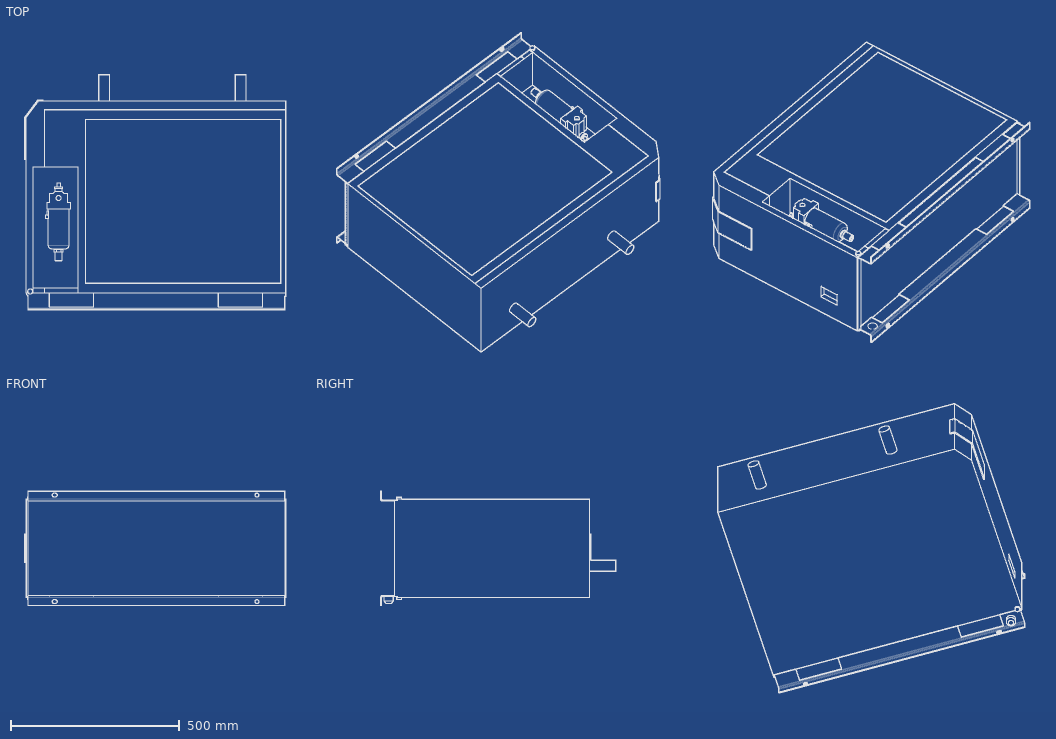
import cadquery as cq


CABINET_WIDTH = 771.5
CABINET_DEPTH = 570.0
CABINET_HEIGHT = 292.0
LEFT = -CABINET_WIDTH / 2
RIGHT = CABINET_WIDTH / 2
TOP = CABINET_HEIGHT / 2
CORNER_CUT_X = 37.5
CORNER_CUT_Y = 50.0

LABEL_THICKNESS = 3.5
LABEL_HEIGHT = 85.0
LABEL_SIDE_END_Y = 396.0
LABEL_BACK_LENGTH = 14.0

GRIP_START_Y = 75.0
GRIP_LENGTH = 61.0
GRIP_HEIGHT = 41.0
GRIP_CENTER_Z = -65.0
GRIP_DEPTH = 16.0

POCKET_LEFT = LEFT + 21.0
POCKET_WIDTH = 133.5
POCKET_FRONT_Y = 14.5
POCKET_LENGTH = 359.0
POCKET_BACK_Y = POCKET_FRONT_Y + POCKET_LENGTH
POCKET_DEPTH = 150.0
LEDGE_DROP = 2.0

JOINT_SIZE = 0.5
SIDE_JOINT_X = LEFT + 55.5
BACK_JOINT_Y = CABINET_DEPTH - 26.5
COVER_LEFT = -209.0
COVER_WIDTH = 580.0
COVER_FRONT_Y = 29.0
COVER_LENGTH = 486.0

PIPE_DIAMETER = 33.25
PIPE_LENGTH = 78.0
PIPE_XS = (-153.5, 251.5)
PIPE_Z = -52.0

HINGE_DIAMETER = 15.0
HINGE_HEIGHT = 6.0
HINGE_X = LEFT + 13.0
HINGE_Y = 5.0

SHEET = 3.0
BEND_RADIUS = 2 * SHEET
BRACKET_LEFT = LEFT + 6.5
BRACKET_WIDTH = 762.0
BRACKET_REACH = 50.0
FLANGE_TOP = 170.0
PLATE_TOP = TOP - SHEET
PLATE_BOTTOM = PLATE_TOP - SHEET
WINDOW_WIDTH = 130.5
WINDOW_CENTER_X = 250.5
WINDOW_REACH = 40.5
BOLT_HOLE_DIAMETER = 11.0
BOLT_SLOT_LENGTH = 14.5
BOLT_X = 300.0
BOLT_Z = 158.0

RIM_REACH = 9.5
RIM_SHOULDER = 3.0
RIM_INSET = 1.5
RIM_THICKNESS = 3.0

FOOT_X = -343.5
FOOT_Y = -26.0
FOOT_DIAMETER = 28.0
FOOT_HEIGHT = 21.0
FOOT_CHAMFER_HEIGHT = 7.0
FOOT_CHAMFER_WIDTH = 6.0

FILTER_X = -288.5
FILTER_Z = 99.5
BOWL_DIAMETER = 61.5
BOWL_FILLET = 10.0
BOWL_END_Y = 131.5
HEAD_HEIGHT = 63.0
HEAD_FRONT_Y = 249.0
HEAD_STEP_Y = 269.5
HEAD_SHOULDER_Y = 295.5
HEAD_BACK_Y = 301.5
HEAD_WIDTH = 70.0
HEAD_NECK_WIDTH = 53.0
HEAD_SHOULDER_WIDTH = 33.0
HEAD_BACK_WIDTH = 21.0
PORT_DIAMETER = 14.95
PORT_Y = 282.0
PORT_DEPTH = 12.0
KNOB_DROP = 30.0
KNOB_NECK_DIAMETER = 20.95
KNOB_DISC_DIAMETER = 24.6
KNOB_STEM_DIAMETER = 10.0
KNOB_DISC_FRONT_Y = 310.5
KNOB_DISC_BACK_Y = 314.5
KNOB_STEM_END_Y = 326.0
DRAIN_NECK_DIAMETER = 20.0
DRAIN_TIP_DIAMETER = 20.95
DRAIN_NUT_DIAMETER = 27.0
DRAIN_NUT_BACK_Y = 129.0
DRAIN_NUT_FRONT_Y = 121.5
DRAIN_END_Y = 95.5
DRAIN_CHAMFER = 1.5
DRAIN_BORE_DIAMETER = 10.0
DRAIN_BORE_DEPTH = 20.0
VALVE_LUG_REACH = 35.0
VALVE_LUG_BACK_Y = 244.0
VALVE_LUG_FRONT_Y = 232.0
VALVE_LUG_HEIGHT = 10.0
VALVE_DIAMETER = 10.0
VALVE_REACH = 38.5
VALVE_Y = 226.0


def box(x0, x1, y0, y1, z0, z1):
    return cq.Workplane("XY").box(x1 - x0, y1 - y0, z1 - z0, centered=False).translate((x0, y0, z0))


def cabinet_outline():
    return [
        (LEFT, 0),
        (RIGHT, 0),
        (RIGHT, CABINET_DEPTH),
        (LEFT + CORNER_CUT_X, CABINET_DEPTH),
        (LEFT, CABINET_DEPTH - CORNER_CUT_Y),
    ]


def cabinet_shell():
    return (
        cq.Workplane("XY", origin=(0, 0, -TOP))
        .polyline(cabinet_outline())
        .close()
        .extrude(CABINET_HEIGHT)
    )


def label_plate():
    """Offset of the cabinet outline, kept only along the cut corner."""
    grown = (
        cq.Workplane("XY")
        .workplane(offset=-LABEL_HEIGHT / 2)
        .polyline(cabinet_outline())
        .close()
        .offset2D(LABEL_THICKNESS, "intersection")
        .extrude(LABEL_HEIGHT)
    )
    corner = box(
        LEFT - LABEL_THICKNESS,
        LEFT + CORNER_CUT_X + LABEL_BACK_LENGTH,
        LABEL_SIDE_END_Y,
        CABINET_DEPTH + LABEL_THICKNESS,
        -TOP,
        TOP,
    )
    return grown.intersect(corner)


def grip_recess():
    z0 = GRIP_CENTER_Z - GRIP_HEIGHT / 2
    return box(LEFT, LEFT + GRIP_DEPTH, GRIP_START_Y, GRIP_START_Y + GRIP_LENGTH, z0, z0 + GRIP_HEIGHT)


def filter_pocket():
    right = POCKET_LEFT + POCKET_WIDTH
    pocket = box(POCKET_LEFT, right, POCKET_FRONT_Y, POCKET_BACK_Y, TOP - POCKET_DEPTH, TOP)
    ledge = box(POCKET_LEFT, right, 0, POCKET_FRONT_Y, TOP - LEDGE_DROP, TOP)
    return pocket.union(ledge)


def panel_joints():
    """Grooves around the top cover and along the L-shaped side and back panel."""
    groove_floor = TOP - JOINT_SIZE
    cover = box(
        COVER_LEFT, COVER_LEFT + COVER_WIDTH, COVER_FRONT_Y, COVER_FRONT_Y + COVER_LENGTH, groove_floor, TOP
    )
    cover_core = box(
        COVER_LEFT + JOINT_SIZE,
        COVER_LEFT + COVER_WIDTH - JOINT_SIZE,
        COVER_FRONT_Y + JOINT_SIZE,
        COVER_FRONT_Y + COVER_LENGTH - JOINT_SIZE,
        groove_floor,
        TOP,
    )
    joint_right = SIDE_JOINT_X + JOINT_SIZE
    back = box(SIDE_JOINT_X, RIGHT, BACK_JOINT_Y, BACK_JOINT_Y + JOINT_SIZE, groove_floor, TOP)
    side = box(SIDE_JOINT_X, joint_right, POCKET_BACK_Y, BACK_JOINT_Y, groove_floor, TOP)
    pocket_wall = box(
        SIDE_JOINT_X, joint_right, POCKET_BACK_Y, POCKET_BACK_Y + JOINT_SIZE, TOP - POCKET_DEPTH, TOP
    )
    ledge = box(SIDE_JOINT_X, joint_right, 0, POCKET_FRONT_Y, TOP - LEDGE_DROP - JOINT_SIZE, TOP)
    return [cover.cut(cover_core), back, side, pocket_wall, ledge]


def pipe_stubs():
    return (
        cq.Workplane("XZ", origin=(0, CABINET_DEPTH, 0))
        .pushPoints([(x, PIPE_Z) for x in PIPE_XS])
        .circle(PIPE_DIAMETER / 2)
        .extrude(-PIPE_LENGTH)
    )


def hinge_pin():
    """Upper pin end."""
    return (
        cq.Workplane("XY", origin=(HINGE_X, HINGE_Y, TOP))
        .circle(HINGE_DIAMETER / 2)
        .extrude(HINGE_HEIGHT)
    )


def bracket():
    """Upper bracket: a plate reaching forward from the cabinet and a flange bent upward."""
    profile = [
        (0, PLATE_BOTTOM),
        (0, PLATE_TOP),
        (-BRACKET_REACH + SHEET, PLATE_TOP),
        (-BRACKET_REACH + SHEET, FLANGE_TOP),
        (-BRACKET_REACH, FLANGE_TOP),
        (-BRACKET_REACH, PLATE_BOTTOM),
    ]
    sheet = (
        cq.Workplane("YZ", origin=(BRACKET_LEFT, 0, 0))
        .polyline(profile)
        .close()
        .extrude(BRACKET_WIDTH)
    )
    outer_bend = cq.selectors.NearestToPointSelector((0, -BRACKET_REACH, PLATE_BOTTOM))
    inner_bend = cq.selectors.NearestToPointSelector((0, -BRACKET_REACH + SHEET, PLATE_TOP))
    sheet = sheet.edges("|X").edges(outer_bend).fillet(BEND_RADIUS)
    sheet = sheet.edges("|X").edges(inner_bend).fillet(BEND_RADIUS - SHEET)
    for x in (-WINDOW_CENTER_X, WINDOW_CENTER_X):
        half = WINDOW_WIDTH / 2
        sheet = sheet.cut(box(x - half, x + half, -WINDOW_REACH, 0, PLATE_BOTTOM, PLATE_TOP))
    flange = cq.Workplane("XZ")
    slot = flange.center(-BOLT_X, BOLT_Z).slot2D(BOLT_SLOT_LENGTH, BOLT_HOLE_DIAMETER).extrude(BRACKET_REACH)
    hole = flange.center(BOLT_X, BOLT_Z).circle(BOLT_HOLE_DIAMETER / 2).extrude(BRACKET_REACH)
    return sheet.cut(slot).cut(hole)


def front_rims():
    """Bevelled rim at the left edge and a plain rim at the right edge, between the brackets."""
    left_profile = [
        (LEFT + RIM_INSET, 0),
        (LEFT + RIM_INSET, -RIM_SHOULDER),
        (BRACKET_LEFT, -RIM_REACH),
        (BRACKET_LEFT, 0),
    ]
    left = (
        cq.Workplane("XY", origin=(0, 0, -PLATE_TOP))
        .polyline(left_profile)
        .close()
        .extrude(2 * PLATE_TOP)
    )
    right = box(RIGHT - RIM_THICKNESS, RIGHT, -RIM_REACH, 0, -PLATE_TOP, PLATE_TOP)
    return [left, right]


def foot():
    return (
        cq.Workplane("XY", origin=(FOOT_X, FOOT_Y, -PLATE_BOTTOM))
        .circle(FOOT_DIAMETER / 2)
        .extrude(-FOOT_HEIGHT - SHEET)
        .faces("<Z")
        .chamfer(FOOT_CHAMFER_HEIGHT, FOOT_CHAMFER_WIDTH)
    )


def make_cabinet():
    body = cabinet_shell().cut(grip_recess()).cut(filter_pocket())
    for joint in panel_joints():
        body = body.cut(joint)
    body = body.union(label_plate()).union(pipe_stubs())
    for upper in (bracket(), hinge_pin()):
        body = body.union(upper).union(upper.mirror("XY"))
    for rim in front_rims():
        body = body.union(rim)
    return body.union(foot())


def filter_disc(diameter, front_y, back_y):
    """Round section of the filter between two stations on its axis."""
    return (
        cq.Workplane("XZ", origin=(FILTER_X, back_y, FILTER_Z))
        .circle(diameter / 2)
        .extrude(back_y - front_y)
    )


def filter_head():
    half_profile = [
        (HEAD_WIDTH / 2, HEAD_FRONT_Y),
        (HEAD_WIDTH / 2, HEAD_STEP_Y),
        (HEAD_NECK_WIDTH / 2, HEAD_STEP_Y),
        (HEAD_NECK_WIDTH / 2, HEAD_SHOULDER_Y),
        (HEAD_SHOULDER_WIDTH / 2, HEAD_SHOULDER_Y),
        (HEAD_BACK_WIDTH / 2, HEAD_BACK_Y),
    ]
    other_half = [(-x, y) for x, y in reversed(half_profile)]
    block = (
        cq.Workplane("XY", origin=(FILTER_X, 0, FILTER_Z))
        .polyline(half_profile + other_half)
        .close()
        .extrude(HEAD_HEIGHT / 2, both=True)
    )
    radius = PORT_DIAMETER / 2
    port = (
        cq.Workplane("XZ", origin=(FILTER_X, PORT_Y, FILTER_Z + HEAD_HEIGHT / 2))
        .polyline([(0, 0), (radius, 0), (radius, -PORT_DEPTH), (0, -PORT_DEPTH - radius)])
        .close()
        .revolve(360, (0, 0, 0), (0, 1, 0))
    )
    return block.cut(port)


def filter_bowl():
    return filter_disc(BOWL_DIAMETER, BOWL_END_Y, HEAD_FRONT_Y).faces("<Y").edges().fillet(BOWL_FILLET)


def filter_knob():
    """Stepped fitting on the back of the head, below the filter axis."""
    neck = filter_disc(KNOB_NECK_DIAMETER, HEAD_BACK_Y, KNOB_DISC_FRONT_Y)
    disc = filter_disc(KNOB_DISC_DIAMETER, KNOB_DISC_FRONT_Y, KNOB_DISC_BACK_Y)
    stem = filter_disc(KNOB_STEM_DIAMETER, KNOB_DISC_BACK_Y, KNOB_STEM_END_Y)
    return neck.union(disc).union(stem).translate((0, 0, -KNOB_DROP))


def filter_drain():
    neck = filter_disc(DRAIN_NECK_DIAMETER, DRAIN_NUT_BACK_Y, BOWL_END_Y)
    nut = (
        cq.Workplane("XZ", origin=(FILTER_X, DRAIN_NUT_BACK_Y, FILTER_Z))
        .polygon(6, DRAIN_NUT_DIAMETER)
        .extrude(DRAIN_NUT_BACK_Y - DRAIN_NUT_FRONT_Y)
    )
    tip = filter_disc(DRAIN_TIP_DIAMETER, DRAIN_END_Y, DRAIN_NUT_FRONT_Y).faces("<Y").chamfer(DRAIN_CHAMFER)
    bore = filter_disc(DRAIN_BORE_DIAMETER, DRAIN_END_Y, DRAIN_END_Y + DRAIN_BORE_DEPTH)
    return neck.union(nut).union(tip).cut(bore)


def filter_valve():
    """Lug and round button on the left side of the bowl."""
    half_height = VALVE_LUG_HEIGHT / 2
    lug = box(
        FILTER_X - VALVE_LUG_REACH,
        FILTER_X,
        VALVE_LUG_FRONT_Y,
        VALVE_LUG_BACK_Y,
        FILTER_Z - half_height,
        FILTER_Z + half_height,
    )
    button = (
        cq.Workplane("YZ", origin=(FILTER_X, VALVE_Y, FILTER_Z))
        .circle(VALVE_DIAMETER / 2)
        .extrude(-VALVE_REACH)
    )
    return lug.union(button)


def make_filter():
    body = filter_head()
    for piece in (filter_bowl(), filter_knob(), filter_drain(), filter_valve()):
        body = body.union(piece)
    return body


cabinet = make_cabinet()
air_filter = make_filter()

result = cq.Compound.makeCompound([cabinet.solids().val(), air_filter.solids().val()])